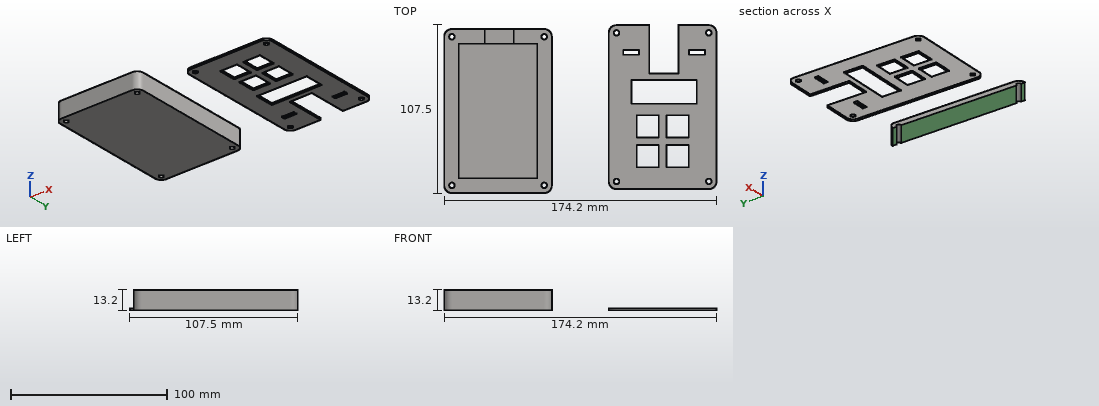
import cadquery as cq

WIDTH = 69.0
LENGTH = 105.0
CORNER_RADIUS = 5.0
SCREW_HOLE_DIAMETER = 3.4
SCREW_INSET = 5.0

TRAY_HEIGHT = 13.2
TRAY_WALL = 9.5
TRAY_FLOOR = 3.0

CONNECTOR_WIDTH = 18.5
CONNECTOR_X = 0.75
CONNECTOR_SILL_Z = 6.0

PLATE_THICKNESS = 1.5
PLATE_X = 105.24
PLATE_Y = 2.52
PLATE_NOTCH_DEPTH = 31.0

DISPLAY_WIDTH = 41.5
DISPLAY_LENGTH = 15.0
DISPLAY_X = 0.9
DISPLAY_Y = 9.8
KEY_SIZE = 14.0
KEY_PITCH = 19.05
KEYS_Y = -21.8
SLOT_WIDTH = 10.0
SLOT_LENGTH = 3.0
SLOT_PITCH = 42.15
SLOTS_X = 0.9
SLOTS_Y = 35.0


def rounded_slab(height):
    """Rounded rectangular slab resting on Z = 0 with a screw hole in each corner."""
    return (
        cq.Workplane("XY")
        .rect(WIDTH, LENGTH)
        .extrude(height)
        .edges("|Z")
        .fillet(CORNER_RADIUS)
        .faces(">Z")
        .workplane(origin=(0, 0, 0))
        .rect(WIDTH - 2 * SCREW_INSET, LENGTH - 2 * SCREW_INSET, forConstruction=True)
        .vertices()
        .hole(SCREW_HOLE_DIAMETER)
    )


def block(width, length, z_bottom, z_top, x, y):
    """Upright rectangular cutter centred at (x, y)."""
    height = z_top - z_bottom
    return cq.Workplane("XY").box(width, length, height).translate((x, y, z_bottom + height / 2))


def connector_cutter(depth, z_bottom, z_top):
    """Cutter for the connector opening, reaching in from the back edge."""
    return block(CONNECTOR_WIDTH, depth, z_bottom, z_top, CONNECTOR_X, (LENGTH - depth) / 2)


def make_tray():
    cavity = block(WIDTH - 2 * TRAY_WALL, LENGTH - 2 * TRAY_WALL, TRAY_FLOOR, TRAY_HEIGHT, 0, 0)
    connector_gap = connector_cutter(TRAY_WALL, CONNECTOR_SILL_Z, TRAY_HEIGHT)
    return rounded_slab(TRAY_HEIGHT).cut(cavity).cut(connector_gap)


def plate_opening(width, length, x, y):
    return block(width, length, 0, PLATE_THICKNESS, x, y)


def make_plate():
    plate = rounded_slab(PLATE_THICKNESS)
    plate = plate.cut(connector_cutter(PLATE_NOTCH_DEPTH, 0, PLATE_THICKNESS))
    plate = plate.cut(plate_opening(DISPLAY_WIDTH, DISPLAY_LENGTH, DISPLAY_X, DISPLAY_Y))
    for side in (-1, 1):
        slot_x = SLOTS_X + side * SLOT_PITCH / 2
        plate = plate.cut(plate_opening(SLOT_WIDTH, SLOT_LENGTH, slot_x, SLOTS_Y))
        for row in (-1, 1):
            key_x = side * KEY_PITCH / 2
            key_y = KEYS_Y + row * KEY_PITCH / 2
            plate = plate.cut(plate_opening(KEY_SIZE, KEY_SIZE, key_x, key_y))
    return plate.translate((PLATE_X, PLATE_Y, 0))


tray = make_tray()
plate = make_plate()

result = cq.Compound.makeCompound([tray.val(), plate.val()])